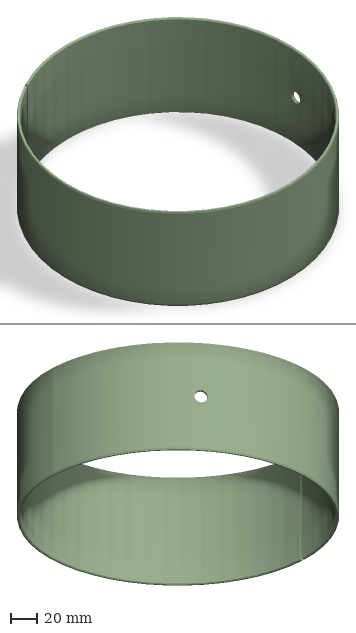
import cadquery as cq

outer_diameter = 245.0
outer_radius = outer_diameter / 2
height = 90.0
wall = 2.5
outer_chamfer_height = 1.5
outer_chamfer_depth = 0.5
inner_chamfer = 0.7

slit_width = 2.0
slit_center_y = 1.0

hole_diameter = 10.0
hole_angle = 59.0


def ring():
    """Tube with steep outer and even inner rim chamfers, revolved from its wall section."""
    inner_radius = outer_radius - wall
    rim_inner_radius = inner_radius + inner_chamfer
    rim_outer_radius = outer_radius - outer_chamfer_depth
    section = [
        (rim_inner_radius, 0),
        (rim_outer_radius, 0),
        (outer_radius, outer_chamfer_height),
        (outer_radius, height - outer_chamfer_height),
        (rim_outer_radius, height),
        (rim_inner_radius, height),
        (inner_radius, height - inner_chamfer),
        (inner_radius, inner_chamfer),
    ]
    return cq.Workplane("XZ").polyline(section).close().revolve(360, (0, 0), (0, 1))


def slit():
    """Full-height cutter that opens the ring on the -X side."""
    return (
        cq.Workplane("XY")
        .center(-outer_radius, slit_center_y)
        .rect(4 * wall, slit_width)
        .extrude(height)
    )


def radial_hole():
    """Cutter from the ring axis outward through one side of the wall."""
    return (
        cq.Workplane("YZ")
        .center(0, height / 2)
        .circle(hole_diameter / 2)
        .extrude(outer_diameter)
        .rotate((0, 0, 0), (0, 0, 1), hole_angle)
    )


result = ring().cut(slit()).cut(radial_hole())